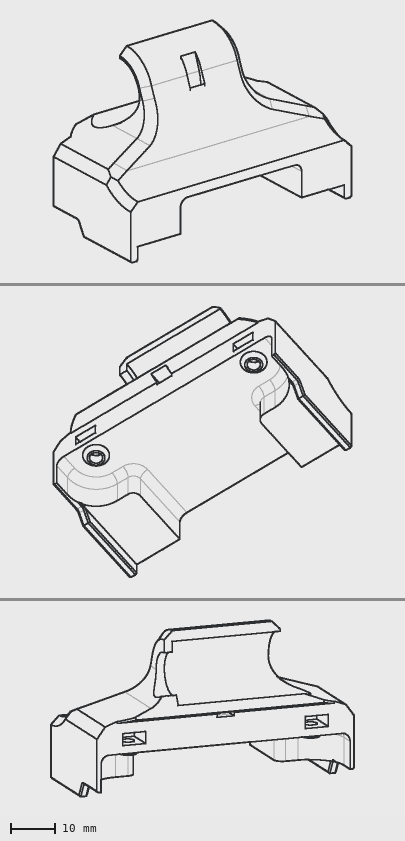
import cadquery as cq
import math


length = 62.0
left_x = -2.1
right_x = 27.0
axis_z = 29.0

saddle_r = 10.0
bore_r = 7.5
small_bore_r = 5.0
bore_end_y = 12.0
flank_r = 42.0
foot_r = 12.0
crest_angle = 20.5
lip_angle = 240.0
lip_chamfer = 1.0

saddle_half = 14.0
shoulder_r = 7.0
slope_angle = 20.0
bevel_width = 2.0
bevel_height = 2.65
flank_bevel = 2.0

ceiling_z = 12.0
leg_z = 3.55
leg_y = 17.0
leg_corner_r = 2.0
wall = 1.0
ceiling_fillet = 2.0

lug_thickness = 2.0
lug_toe_x = 9.0
lug_slant = 60.0
lug_fillet = 1.0
lug_chamfer = 0.4

screw_x = 1.9
screw_y = 22.0
screw_d = 3.0
seat_d = 6.0
seat_h = 1.0
head_clear_r = length / 2 - wall - screw_y
nut_width = 5.5
nut_z = 13.95
nut_height = 2.8

strap_width = 4.1
strap_inner_r = 9.0
strap_outer_r = 10.55

shoulder_y = saddle_half + shoulder_r
shoulder_turn = math.radians(90 - slope_angle)
slope_drop = math.tan(math.radians(slope_angle))
slope_y = shoulder_y - shoulder_r * math.cos(shoulder_turn)
slope_z = axis_z - shoulder_r * math.sin(shoulder_turn)
top_z = axis_z + saddle_r
bevel_y = length / 2 - bevel_width
bevel_z = slope_z - (bevel_y - slope_y) * slope_drop

overshoot = 6.2
direction_tolerance = 0.01
run_out = length / 2 + overshoot
reach = 2 * saddle_r


def polar(radius, degrees):
    """Point in the XZ plane at a radius and angle about the bore axis."""
    angle = math.radians(degrees)
    return (radius * math.cos(angle), axis_z + radius * math.sin(angle))


def profile_prism(half_length):
    """Saddle, concave flank and base block, drawn in XZ and run along the whole length."""
    flank_x, flank_z = polar(flank_r + saddle_r, crest_angle)
    foot_angle = math.acos((flank_x - right_x) / (flank_r - foot_r))
    foot_z = flank_z - (flank_r - foot_r) * math.sin(foot_angle)

    def on_flank(angle):
        return (flank_x - flank_r * math.cos(angle), flank_z - flank_r * math.sin(angle))

    def on_foot(angle):
        return (right_x - foot_r * math.cos(angle), foot_z - foot_r * math.sin(angle))

    lip_end_angle = 360 - math.degrees(math.acos(left_x / saddle_r))
    return (
        cq.Workplane("XZ")
        .moveTo(0, axis_z)
        .lineTo(*polar(saddle_r, 90))
        .threePointArc(polar(saddle_r, (90 + crest_angle) / 2), polar(saddle_r, crest_angle))
        .threePointArc(on_flank((math.radians(crest_angle) + foot_angle) / 2), on_flank(foot_angle))
        .threePointArc(on_foot((foot_angle + math.pi / 2) / 2), on_foot(math.pi / 2))
        .lineTo(right_x, leg_z)
        .lineTo(left_x, leg_z)
        .lineTo(*polar(saddle_r, lip_end_angle))
        .threePointArc(polar(saddle_r, (lip_end_angle + lip_angle) / 2), polar(saddle_r, lip_angle))
        .close()
        .extrude(half_length, both=True)
    )


def outline_prism(half_outline):
    """Symmetric prism along X from half of an outline in YZ, whose ends lie on Y = 0."""
    half = half_outline.lineTo(0, leg_z).close().extrude(reach + right_x + overshoot)
    return half.union(half.mirror("XZ")).clean()


def outline_start(half_width):
    """Half outline started along its top edge."""
    return cq.Workplane("YZ", origin=(-reach, 0, 0)).moveTo(0, top_z).lineTo(half_width, top_z)


def shoulder_outline():
    """Saddle ends, shoulder fillets, and slopes that run straight out to the ends of the part."""
    middle = (
        shoulder_y - shoulder_r * math.cos(shoulder_turn / 2),
        axis_z - shoulder_r * math.sin(shoulder_turn / 2),
    )
    return (
        outline_start(saddle_half)
        .lineTo(saddle_half, axis_z)
        .threePointArc(middle, (slope_y, slope_z))
        .lineTo(run_out, slope_z - (run_out - slope_y) * slope_drop)
        .lineTo(run_out, leg_z)
    )


def end_outline():
    """End faces and the bevels above them, carried on straight up to the saddle top."""
    bevel_rise = top_z - (bevel_z - bevel_height)
    return (
        outline_start(length / 2 - bevel_rise * bevel_width / bevel_height)
        .lineTo(length / 2, bevel_z - bevel_height)
        .lineTo(length / 2, leg_z)
    )


def faces_along_y(body):
    """Curved faces that run straight along Y."""
    curved = body.faces("%CYLINDER")
    return curved.filter(lambda face: abs(face.normalAt(face.Center()).y) < direction_tolerance)


def bevel_flank(body):
    """Bevel the end edges of the saddle back, the concave flank and the foot."""
    flank = faces_along_y(body).filter(lambda face: face.Center().x > 0)
    return flank.edges("not |Y").chamfer(flank_bevel)


def outer_body():
    """Profile trimmed by the shoulders and slopes, by the end faces and by the bevels between them."""
    rough = profile_prism(run_out).intersect(outline_prism(shoulder_outline())).clean()
    shouldered = bevel_flank(rough)
    lip = faces_along_y(shouldered).filter(lambda face: face.Center().x < 0)
    lipped = lip.edges("not |Y").chamfer(lip_chamfer)
    ended = bevel_flank(profile_prism(length / 2))
    return lipped.intersect(ended).intersect(outline_prism(end_outline()))


def saddle_bore():
    """Bore open at the -Y end, and the smaller bore through the far wall."""
    large = cq.Workplane("XZ", origin=(0, bore_end_y, axis_z)).circle(bore_r).extrude(length)
    small = cq.Workplane("XZ", origin=(0, 0, axis_z)).circle(small_bore_r).extrude(length / 2, both=True)
    return large.union(small)


def underside():
    """Space below the ceiling: rounded clearance for the screw heads, and the gap between the legs."""
    back_x = screw_x + head_clear_r
    inner_y = length / 2 - wall
    leg_corner_y = leg_y + leg_corner_r
    diagonal = math.sqrt(0.5)
    far_x = right_x + overshoot
    near_x = left_x - overshoot
    half = (
        cq.Workplane("XY", origin=(0, 0, leg_z))
        .moveTo(near_x, 0)
        .lineTo(near_x, inner_y)
        .lineTo(screw_x, inner_y)
        .threePointArc(
            (screw_x + head_clear_r * diagonal, screw_y + head_clear_r * diagonal), (back_x, screw_y)
        )
        .lineTo(back_x, leg_corner_y)
        .threePointArc(
            (back_x + leg_corner_r * (1 - diagonal), leg_corner_y - leg_corner_r * diagonal),
            (back_x + leg_corner_r, leg_y),
        )
        .lineTo(far_x, leg_y)
        .lineTo(far_x, 0)
        .close()
        .extrude(ceiling_z - leg_z)
    )
    return half.union(half.mirror("XZ")).clean().faces(">Z").edges().fillet(ceiling_fillet)


def end_plate():
    """Plate at the +Y end: its lower edge steps down to a lug, with both rims of that edge bevelled."""
    toe_x = lug_toe_x - leg_z / math.tan(math.radians(lug_slant))
    plate = (
        cq.Workplane("XZ", origin=(0, length / 2, 0))
        .moveTo(left_x, ceiling_z)
        .lineTo(left_x, leg_z)
        .lineTo(toe_x, leg_z)
        .lineTo(lug_toe_x, 0)
        .lineTo(right_x, 0)
        .lineTo(right_x, ceiling_z)
        .close()
        .extrude(lug_thickness)
    )
    inner_corner = (toe_x, length / 2 - lug_thickness / 2, leg_z)
    rounded = plate.edges(cq.NearestToPointSelector(inner_corner)).fillet(lug_fillet)
    lower = rounded.faces("not(|Y or <X or >X or >Z)").edges("not |Y")
    return lower.chamfer(lug_chamfer)


def plate_space():
    """Room for the end plate in the outer body."""
    room = cq.Workplane("XY").box(right_x - left_x, lug_thickness, ceiling_z - leg_z, centered=False)
    return room.translate((left_x, length / 2 - lug_thickness, leg_z))


def screw_seat():
    """Conical seat that stands below the ceiling around a screw."""
    return (
        cq.Workplane("XY", origin=(screw_x, screw_y, ceiling_z - seat_h))
        .circle(seat_d / 2 - seat_h)
        .workplane(offset=seat_h)
        .circle(seat_d / 2)
        .loft()
    )


def screw_cut():
    """Screw hole up into the nut slot, which opens on the -X face."""
    nut_corner_r = nut_width / math.sqrt(3)
    slot_length = screw_x + nut_corner_r - left_x
    slot = cq.Workplane("XY").box(slot_length, nut_width, nut_height, centered=(False, True, False))
    slot = slot.translate((left_x, screw_y, nut_z))
    hole = cq.Workplane("XY", origin=(screw_x, screw_y, 0)).circle(screw_d / 2).extrude(nut_z + nut_height)
    return slot.union(hole)


def strap_channel():
    """Channel around the bore that leaves straight through the -X face and straight up the flank."""
    outlet = math.radians(crest_angle)

    def up_flank(radius):
        x, z = polar(radius, crest_angle)
        return (x - saddle_r * math.sin(outlet), z + saddle_r * math.cos(outlet))

    mid_angle = (crest_angle - 90) / 2
    return (
        cq.Workplane("XZ")
        .moveTo(-saddle_r, axis_z - strap_outer_r)
        .lineTo(*polar(strap_outer_r, -90))
        .threePointArc(polar(strap_outer_r, mid_angle), polar(strap_outer_r, crest_angle))
        .lineTo(*up_flank(strap_outer_r))
        .lineTo(*up_flank(strap_inner_r))
        .lineTo(*polar(strap_inner_r, crest_angle))
        .threePointArc(polar(strap_inner_r, mid_angle), polar(strap_inner_r, -90))
        .lineTo(-saddle_r, axis_z - strap_inner_r)
        .close()
        .extrude(strap_width / 2, both=True)
    )


def both_ends(feature):
    """A feature of the +Y end together with its mirror image at the -Y end."""
    return feature.union(feature.mirror("XZ"))


result = (
    outer_body()
    .cut(both_ends(plate_space()))
    .union(both_ends(end_plate()))
    .cut(underside())
    .union(both_ends(screw_seat()))
    .cut(both_ends(screw_cut()))
    .cut(saddle_bore())
    .cut(strap_channel())
)